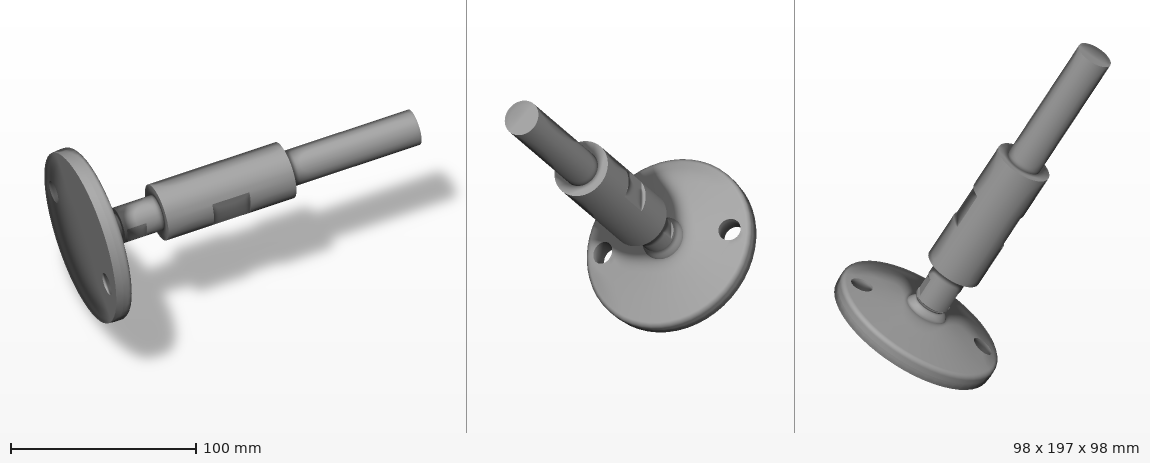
import cadquery as cq
import math

TOTAL_LENGTH = 197.0

FOOT_DIAMETER = 98.0
FOOT_BOTTOM_DIAMETER = 97.1
BOTTOM_TAPER_HEIGHT = 4.1
RIM_HEIGHT = 7.0
RIM_ROUND_RADIUS = 2.8
CONE_ANGLE = 9.6
DOME_RADIUS = 14.0
DOME_CENTRE_Y = 8.7
DOME_TOP_Y = 19.7
MOUNT_HOLE_DIAMETER = 12.5
MOUNT_HOLE_OFFSET = 35.9

SPINDLE_DIAMETER = 20.0
SHANK_START_Y = 22.0
NECK_DIAMETER = 13.5
PIVOT_DIAMETER = 17.7
PIVOT_TIP_DIAMETER = 16.5
PIVOT_TOP_Y = 20.7
SPINDLE_ACROSS_FLATS = 17.3
SPINDLE_FLATS_START_Y = 23.6
SPINDLE_FLATS_END_Y = 35.0

SLEEVE_DIAMETER = 32.0
SLEEVE_START_Y = 45.1
SLEEVE_LENGTH = 75.5
SLEEVE_ACROSS_FLATS = 27.0
SLEEVE_FLATS_LENGTH = 21.9


def cylinder_y(diameter, start_y, end_y):
    """Solid cylinder on the Y axis."""
    profile = cq.Workplane("XZ", origin=(0, start_y, 0)).circle(diameter / 2)
    return profile.extrude(start_y - end_y)


def cut_flats(body, diameter, across_flats, start_y, end_y):
    """Cut two opposite wrench flats, facing -X and +X."""
    depth = (diameter - across_flats) / 2
    for side in (-1, 1):
        cutter = cq.Workplane("XY").box(depth, end_y - start_y, diameter)
        centre = (side * (across_flats + depth) / 2, (start_y + end_y) / 2, 0)
        body = body.cut(cutter.translate(centre))
    return body


def make_foot():
    """Round foot with a conical top, a domed boss and two mounting holes."""
    rim_radius = FOOT_DIAMETER / 2
    slope = math.radians(CONE_ANGLE)

    round_centre_x = rim_radius - RIM_ROUND_RADIUS

    def rim_round_point(angle):
        return (
            round_centre_x + RIM_ROUND_RADIUS * math.cos(angle),
            RIM_HEIGHT + RIM_ROUND_RADIUS * math.sin(angle),
        )

    round_end_angle = math.pi / 2 - slope
    round_middle = rim_round_point(round_end_angle / 2)
    cone_edge = rim_round_point(round_end_angle)

    def dome_point(angle):
        return (DOME_RADIUS * math.cos(angle), DOME_CENTRE_Y + DOME_RADIUS * math.sin(angle))

    axis_height = cone_edge[1] + cone_edge[0] * math.tan(slope) - DOME_CENTRE_Y
    dome_start_angle = round_end_angle - math.acos(axis_height * math.cos(slope) / DOME_RADIUS)
    dome_end_angle = math.asin((DOME_TOP_Y - DOME_CENTRE_Y) / DOME_RADIUS)
    dome_middle = dome_point((dome_start_angle + dome_end_angle) / 2)

    foot = (
        cq.Workplane("XY")
        .lineTo(FOOT_BOTTOM_DIAMETER / 2, 0)
        .lineTo(rim_radius, BOTTOM_TAPER_HEIGHT)
        .lineTo(rim_radius, RIM_HEIGHT)
        .threePointArc(round_middle, cone_edge)
        .lineTo(*dome_point(dome_start_angle))
        .threePointArc(dome_middle, dome_point(dome_end_angle))
        .lineTo(0, DOME_TOP_Y)
        .close()
        .revolve(360, (0, 0, 0), (0, 1, 0))
    )

    for side in (-1, 1):
        direction = cq.Vector(side * math.sin(slope), math.cos(slope), 0)
        bottom_centre = cq.Vector(side * MOUNT_HOLE_OFFSET, 0, 0)
        drill = cq.Solid.makeCylinder(
            MOUNT_HOLE_DIAMETER / 2,
            2 * DOME_TOP_Y,
            bottom_centre - direction * DOME_TOP_Y,
            direction,
        )
        foot = foot.cut(cq.Workplane(drill))
    return foot


def make_spindle():
    """Long rod with wrench flats, a neck and a tapered pivot resting on the dome."""
    spindle = (
        cq.Workplane("XY")
        .moveTo(0, DOME_TOP_Y)
        .lineTo(PIVOT_TIP_DIAMETER / 2, DOME_TOP_Y)
        .lineTo(PIVOT_DIAMETER / 2, PIVOT_TOP_Y)
        .lineTo(NECK_DIAMETER / 2, PIVOT_TOP_Y)
        .lineTo(NECK_DIAMETER / 2, SHANK_START_Y)
        .lineTo(SPINDLE_DIAMETER / 2, SHANK_START_Y)
        .lineTo(SPINDLE_DIAMETER / 2, TOTAL_LENGTH)
        .lineTo(0, TOTAL_LENGTH)
        .close()
        .revolve(360, (0, 0, 0), (0, 1, 0))
    )
    return cut_flats(
        spindle, SPINDLE_DIAMETER, SPINDLE_ACROSS_FLATS, SPINDLE_FLATS_START_Y, SPINDLE_FLATS_END_Y
    )


def make_sleeve():
    """Sleeve bored to fit the spindle, with wrench flats at mid-length."""
    end_y = SLEEVE_START_Y + SLEEVE_LENGTH
    flats_start_y = SLEEVE_START_Y + (SLEEVE_LENGTH - SLEEVE_FLATS_LENGTH) / 2
    flats_end_y = flats_start_y + SLEEVE_FLATS_LENGTH
    sleeve = cylinder_y(SLEEVE_DIAMETER, SLEEVE_START_Y, end_y)
    sleeve = sleeve.cut(cylinder_y(SPINDLE_DIAMETER, SLEEVE_START_Y, end_y))
    return cut_flats(sleeve, SLEEVE_DIAMETER, SLEEVE_ACROSS_FLATS, flats_start_y, flats_end_y)


foot = make_foot().solids()
spindle = make_spindle().solids()
sleeve = make_sleeve().solids()

result = cq.Compound.makeCompound([foot.val(), spindle.val(), sleeve.val()])